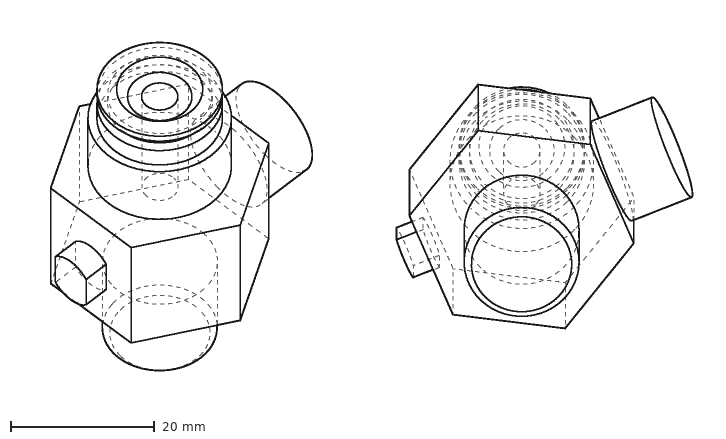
import cadquery as cq
import math

hex_corner_width = 31.5
hex_height = 20.0
hex_half_flat = hex_corner_width * math.cos(math.pi / 6) / 2

spigot_diameter = 16.0
spigot_length = 15.0
spigot_chamfer = 1.0

shoulder_diameter = 20.0
shoulder_height = 10.0
collar_diameter = 17.5
collar_height = 3.0
groove_diameter = 14.6
groove_height = 2.0
rim_height = 1.0

mouth_diameter = 12.0
seat_diameter = 9.0
seat_depth = (mouth_diameter - seat_diameter) / 2
bore_diameter = 5.05
bore_depth = 20.4

port_diameter = 15.0
port_length = 9.05
key_diameter = 8.0
key_width = 6.0
key_length = 4.0

hex_top = spigot_length + hex_height
side_axis_height = spigot_length + hex_height / 2
total_height = hex_top + shoulder_height + collar_height + groove_height + rim_height


def disc(diameter, bottom, height):
    return cq.Workplane("XY").workplane(offset=bottom).circle(diameter / 2).extrude(height)


def make_body():
    spigot = disc(spigot_diameter, 0, spigot_length).faces("<Z").chamfer(spigot_chamfer)
    hexagon = (
        cq.Workplane("XY")
        .workplane(offset=spigot_length)
        .polygon(6, hex_corner_width)
        .extrude(hex_height)
    )
    return hexagon.union(spigot)


def add_neck(body):
    steps = [
        (shoulder_diameter, shoulder_height),
        (collar_diameter, collar_height),
        (groove_diameter, groove_height),
        (collar_diameter, rim_height),
    ]
    bottom = hex_top
    for diameter, height in steps:
        body = body.union(disc(diameter, bottom, height))
        bottom += height
    return body


def make_port():
    return (
        cq.Workplane("XZ", origin=(0, 0, side_axis_height))
        .circle(port_diameter / 2)
        .extrude(-(hex_half_flat + port_length))
    )


def make_key():
    key_reach = hex_half_flat + key_length
    plane = cq.Workplane("XZ", origin=(0, 0, side_axis_height))
    key_round = plane.circle(key_diameter / 2).extrude(key_reach)
    key_flats = plane.rect(key_width, key_diameter).extrude(key_reach)
    return key_round.intersect(key_flats)


def make_bore():
    seat = (
        cq.Workplane("XY")
        .workplane(offset=total_height - seat_depth)
        .circle(seat_diameter / 2)
        .workplane(offset=seat_depth)
        .circle(mouth_diameter / 2)
        .loft()
    )
    return seat.union(disc(bore_diameter, total_height - bore_depth, bore_depth))


result = add_neck(make_body()).union(make_port()).union(make_key()).cut(make_bore())